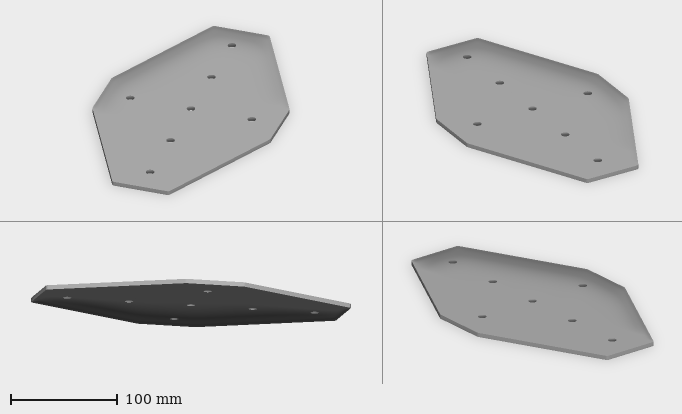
import cadquery as cq

length = 296.0
width = 176.0
thickness = 4.0
end_flat = 55.5
side_flat = 56.5
end_corner_radius = 3.0
side_corner_radius = 5.0

hole_pitch = 60.0
hole_diameter = 8.0
holes_each_way_x = 1
holes_each_way_y = 2


def make_plate():
    """Octagonal plate, centred in X and Y, resting on Z = 0."""
    half_length = length / 2
    half_width = width / 2
    half_end = end_flat / 2
    half_side = side_flat / 2
    outline = [
        (half_end, half_length),
        (half_width, half_side),
        (half_width, -half_side),
        (half_end, -half_length),
        (-half_end, -half_length),
        (-half_width, -half_side),
        (-half_width, half_side),
        (-half_end, half_length),
    ]
    plate = cq.Workplane("XY").polyline(outline).close().extrude(thickness)
    plate = plate.edges("|Z and (>Y or <Y)").fillet(end_corner_radius)
    return plate.edges("|Z and (>X or <X)").fillet(side_corner_radius)


def hole_centres():
    """Centres along both axes, sharing a single hole at the middle."""
    along_y = [(0, i * hole_pitch) for i in range(-holes_each_way_y, holes_each_way_y + 1)]
    along_x = [(i * hole_pitch, 0) for i in range(-holes_each_way_x, holes_each_way_x + 1) if i != 0]
    return along_y + along_x


plate = make_plate()
top_face = plate.faces(">Z").workplane(origin=(0, 0, thickness))
result = top_face.pushPoints(hole_centres()).hole(hole_diameter)